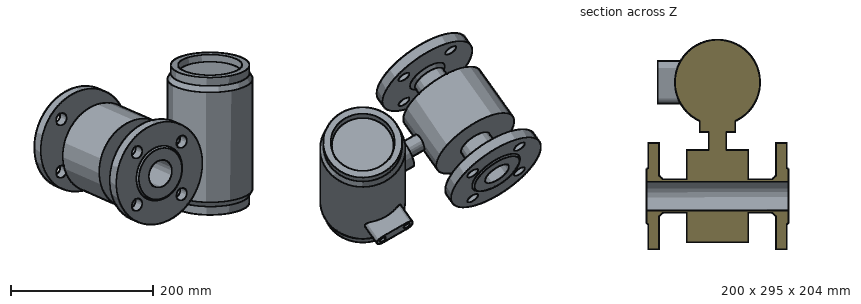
import cadquery as cq
import math

PIPE_LENGTH = 200.0
BORE_DIAMETER = 40.0
PIPE_DIAMETER = 48.0
SENSOR_DIAMETER = 130.0
SENSOR_LENGTH = 86.5

FLANGE_DIAMETER = 150.0
FLANGE_THICKNESS = 15.5
RAISED_FACE_DIAMETER = 80.0
RAISED_FACE_HEIGHT = 2.5
RAISED_FACE_CHAMFER = 2.5
HUB_LENGTH = 5.0
HUB_DIAMETER = PIPE_DIAMETER + 2 * HUB_LENGTH
BOLT_HOLE_DIAMETER = 18.0
BOLT_CIRCLE_DIAMETER = 110.0
BOLT_COUNT = 4
BOLT_START_ANGLE = 180.0 / BOLT_COUNT

HOUSING_Y = 160.0
HOUSING_DIAMETER = 120.0
HOUSING_HEIGHT = 204.0
CAP_HEIGHT = 12.5
SHOULDER_HEIGHT = 8.0
SHOULDER_ANGLE = 30.0
WINDOW_DIAMETER = 90.0
WINDOW_DEPTH = 10.0
WINDOW_TAPER = 10.0

STEM_DIAMETER = 25.0
COLLAR_DIAMETER = 50.0
COLLAR_REACH = 70.0

ENTRY_WIDTH = 60.0
ENTRY_HEIGHT = 20.0
ENTRY_REACH = 84.0
ENTRY_Z = -40.0
CABLE_HOLE_DIAMETER = 10.0
CABLE_HOLE_SPACING = ENTRY_WIDTH - ENTRY_HEIGHT


def make_flange():
    """Flange at the +X end, with raised face, tapered hub and bolt holes."""
    face_x = PIPE_LENGTH / 2
    front_x = face_x - RAISED_FACE_HEIGHT
    back_x = front_x - FLANGE_THICKNESS
    raised_radius = RAISED_FACE_DIAMETER / 2
    flange = (
        cq.Workplane("XY")
        .moveTo(back_x - HUB_LENGTH, 0)
        .lineTo(back_x - HUB_LENGTH, PIPE_DIAMETER / 2)
        .lineTo(back_x, HUB_DIAMETER / 2)
        .lineTo(back_x, FLANGE_DIAMETER / 2)
        .lineTo(front_x, FLANGE_DIAMETER / 2)
        .lineTo(front_x, raised_radius)
        .lineTo(face_x, raised_radius - RAISED_FACE_CHAMFER)
        .lineTo(face_x, 0)
        .close()
        .revolve(360, (0, 0, 0), (1, 0, 0))
    )
    bolt_holes = (
        cq.Workplane("YZ", origin=(back_x, 0, 0))
        .polarArray(BOLT_CIRCLE_DIAMETER / 2, BOLT_START_ANGLE, 360, BOLT_COUNT)
        .circle(BOLT_HOLE_DIAMETER / 2)
        .extrude(FLANGE_THICKNESS)
    )
    return flange.cut(bolt_holes)


def make_sensor():
    """Flanged pipe with the sensor drum around its middle, without the bore."""
    pipe_reach = PIPE_LENGTH / 2 - RAISED_FACE_HEIGHT
    pipe = cq.Workplane("YZ").circle(PIPE_DIAMETER / 2).extrude(pipe_reach, both=True)
    drum = cq.Workplane("YZ").circle(SENSOR_DIAMETER / 2).extrude(SENSOR_LENGTH / 2, both=True)
    flange = make_flange()
    return pipe.union(drum).union(flange).union(flange.mirror("YZ"))


def make_housing():
    """Housing with a narrower cap at each end, without the window recess."""
    radius = HOUSING_DIAMETER / 2
    cap_radius = radius - SHOULDER_HEIGHT * math.tan(math.radians(SHOULDER_ANGLE))
    top_z = HOUSING_HEIGHT / 2
    cap_z = top_z - CAP_HEIGHT
    shoulder_z = cap_z - SHOULDER_HEIGHT
    return (
        cq.Workplane("XZ", origin=(0, HOUSING_Y, 0))
        .moveTo(0, -top_z)
        .lineTo(cap_radius, -top_z)
        .lineTo(cap_radius, -cap_z)
        .lineTo(radius, -shoulder_z)
        .lineTo(radius, shoulder_z)
        .lineTo(cap_radius, cap_z)
        .lineTo(cap_radius, top_z)
        .lineTo(0, top_z)
        .close()
        .revolve(360, (0, 0, 0), (0, 1, 0))
    )


def make_window_recess():
    """Slightly tapered recess in the top of the housing."""
    return (
        cq.Workplane("XY", origin=(0, HOUSING_Y, HOUSING_HEIGHT / 2))
        .circle(WINDOW_DIAMETER / 2)
        .extrude(-WINDOW_DEPTH, taper=WINDOW_TAPER)
    )


def make_neck():
    """Stem from the pipe axis to the housing axis, with a collar at the housing."""
    at_housing = cq.Workplane("XZ", origin=(0, HOUSING_Y, 0))
    stem = at_housing.circle(STEM_DIAMETER / 2).extrude(HOUSING_Y)
    collar = at_housing.circle(COLLAR_DIAMETER / 2).extrude(COLLAR_REACH)
    return stem.union(collar)


def make_cable_entry():
    """Round-ended block with two cable holes, reaching in to the housing axis."""
    base = cq.Workplane("YZ", origin=(0, HOUSING_Y, ENTRY_Z))
    block = base.slot2D(ENTRY_WIDTH, ENTRY_HEIGHT).extrude(-ENTRY_REACH)
    holes = (
        base.rarray(CABLE_HOLE_SPACING, 1, 2, 1)
        .circle(CABLE_HOLE_DIAMETER / 2)
        .extrude(-ENTRY_REACH)
    )
    return block.cut(holes)


bore = cq.Workplane("YZ").circle(BORE_DIAMETER / 2).extrude(PIPE_LENGTH / 2, both=True)

result = (
    make_sensor()
    .union(make_neck())
    .cut(bore)
    .union(make_housing())
    .union(make_cable_entry())
    .cut(make_window_recess())
)